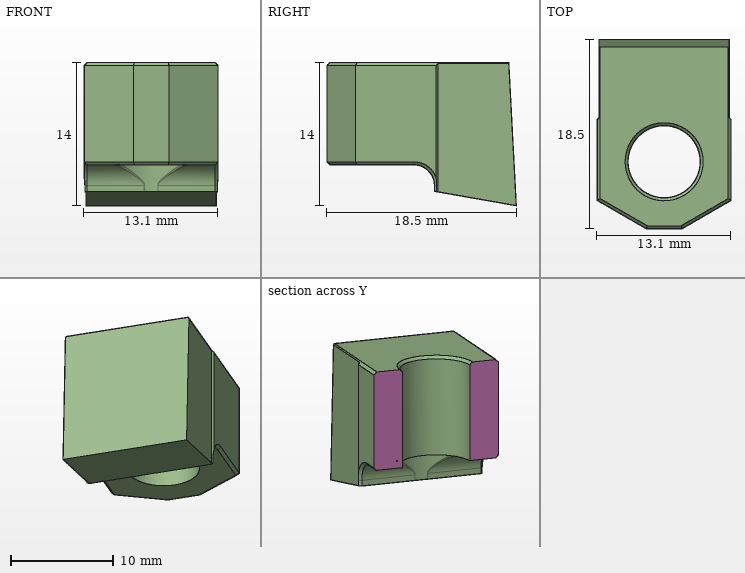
import cadquery as cq
import math

length = 18.5
width = 13.1
height = 14.0
half_width = width / 2
front_y = -half_width
rear_y = front_y + length

nose_flat = 3.48
nose_angle = 30.0
nose_corner_y = front_y + (half_width - nose_flat / 2) * math.tan(math.radians(nose_angle))

rear_lean = 3.0
underside_slope = 10.0
rear_top_y = rear_y - height * math.tan(math.radians(rear_lean))

undercut_z = -10.0
heel_wall_y = 3.94
undercut_radius = 2.0
heel_front_z = -height + (rear_y - heel_wall_y) * math.tan(math.radians(underside_slope))

heel_half_width = 6.36
side_step = half_width - heel_half_width
side_step_y = 4.1

bore_radius = 3.52
relief_radius = 4.0
relief_edge_fillet = 0.22
edge_chamfer = 0.3
clearance = 1.85
tolerance = 0.002
level_limit = 0.18


def side_profile():
    """Extrude the side outline, with its filleted undercut, across the full width."""
    arc_offset = undercut_radius * (1 - math.sqrt(0.5))
    return (
        cq.Workplane("YZ")
        .moveTo(front_y, 0)
        .lineTo(rear_top_y, 0)
        .lineTo(rear_y, -height)
        .lineTo(heel_wall_y, heel_front_z)
        .lineTo(heel_wall_y, undercut_z - undercut_radius)
        .threePointArc(
            (heel_wall_y - arc_offset, undercut_z - arc_offset),
            (heel_wall_y - undercut_radius, undercut_z),
        )
        .lineTo(front_y, undercut_z)
        .close()
        .extrude(half_width, both=True)
    )


def plan_prism():
    """Prism of the plan outline with its tapered nose."""
    return (
        cq.Workplane("XY")
        .polyline([
            (-nose_flat / 2, front_y),
            (nose_flat / 2, front_y),
            (half_width, nose_corner_y),
            (half_width, rear_y),
            (-half_width, rear_y),
            (-half_width, nose_corner_y),
        ])
        .close()
        .extrude(-height)
    )


def break_edges(body):
    """Chamfer the rim of the top face, except at the rear, and the rim of the undercut."""
    top_rim = body.faces(">Z").edges("not >Y")
    rim_box = cq.selectors.BoxSelector(
        (-width, front_y - tolerance, heel_front_z - tolerance),
        (width, heel_wall_y + tolerance, undercut_z + tolerance),
        boundingbox=True,
    )
    undercut_rim = [
        edge
        for edge in body.edges(rim_box).vals()
        if abs(edge.Center().x) > tolerance or edge.Center().y < front_y + tolerance
    ]
    return body.newObject(top_rim.vals() + undercut_rim).chamfer(edge_chamfer)


def heel_side_cutter(side):
    """Strip removed beside the heel on one side (+1 or -1), with a 45 degree shoulder."""
    outer = half_width + clearance
    return (
        cq.Workplane("XY")
        .polyline([
            (side * outer, side_step_y - clearance),
            (side * heel_half_width, side_step_y + side_step),
            (side * heel_half_width, rear_y + clearance),
            (side * outer, rear_y + clearance),
        ])
        .close()
        .extrude(-height)
    )


def bore_cutter():
    """Through bore with a chamfered top rim."""
    rim_radius = bore_radius + edge_chamfer
    return (
        cq.Workplane("XZ")
        .polyline([
            (0, 0),
            (rim_radius, 0),
            (bore_radius, -edge_chamfer),
            (bore_radius, -height),
            (0, -height),
        ])
        .close()
        .revolve(360, (0, 0), (0, 1))
    )


def relief_cutter():
    """Clearance below the undercut for a screw head, grooving the heel wall."""
    return cq.Workplane("XY").workplane(offset=undercut_z).circle(relief_radius).extrude(-height)


def round_relief_edges(body):
    """Round the edges where the relief leaves the heel wall and the undercut fillet."""
    relief_box = cq.selectors.BoxSelector(
        (-relief_radius, heel_wall_y - undercut_radius - tolerance, heel_front_z - tolerance),
        (relief_radius, heel_wall_y + tolerance, undercut_z + tolerance),
        boundingbox=True,
    )
    relief_edges = [
        edge for edge in body.edges(relief_box).vals() if edge.BoundingBox().zlen > level_limit
    ]
    return body.newObject(relief_edges).fillet(relief_edge_fillet)


body = break_edges(side_profile().intersect(plan_prism()))
for side in (-1, 1):
    body = body.cut(heel_side_cutter(side))
result = round_relief_edges(body.cut(bore_cutter()).cut(relief_cutter()))